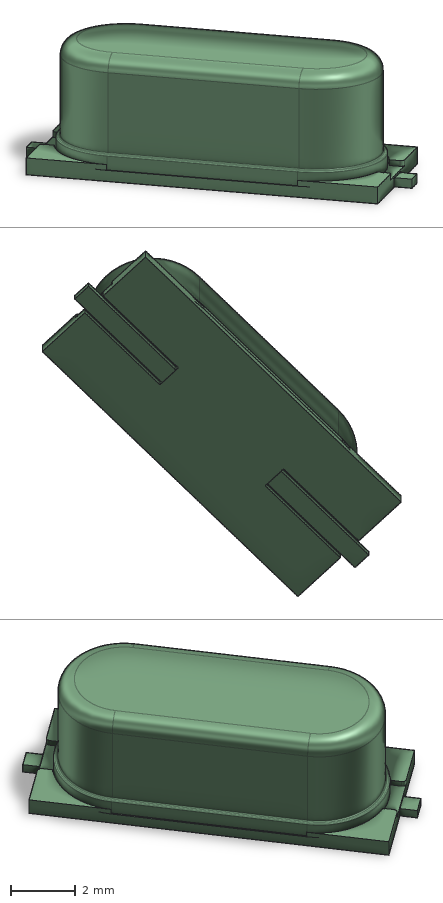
import cadquery as cq

overall_length = 12.5
overall_height = 4.01

base_length = 11.4
base_width = 4.5
base_bottom = 0.01
base_top = 0.56
seat_floor = 0.38

channel_width = 1.38
mouth_radius = 0.12

straight_length = 6.19
seat_radius = base_width / 2
flange_radius = 2.2
flange_top = 0.86
flange_fillet = 0.04
can_radius = 2.06
can_edge_fillet = 0.51

lead_length = 3.9
lead_width = 0.6
lead_thickness = 0.3
lead_slot_width = 0.8


def block(x_start, x_end, width, z_start, z_end):
    """Box between two X and two Z planes, centred on Y = 0."""
    length = x_end - x_start
    return (
        cq.Workplane("XY", origin=((x_start + x_end) / 2, 0, z_start))
        .rect(length, width)
        .extrude(z_end - z_start)
    )


def obround(radius, z_start, z_end):
    """Upright obround prism with the common straight length along X."""
    return (
        cq.Workplane("XY", origin=(0, 0, z_start))
        .slot2D(straight_length + 2 * radius, 2 * radius)
        .extrude(z_end - z_start)
    )


def mirrored_pair(left_body):
    """The body together with its mirror image across the YZ plane."""
    return left_body.union(left_body.mirror("YZ"))


def end_channel():
    """Channel through the left end wall, flaring outward with rounded mouth corners."""
    half_length = base_length / 2
    half_width = channel_width / 2
    half_mouth = half_width + mouth_radius
    inner_end = -straight_length / 2
    return (
        cq.Workplane("XY", origin=(0, 0, seat_floor))
        .moveTo(inner_end, half_width)
        .lineTo(-half_length + mouth_radius, half_width)
        .radiusArc((-half_length, half_mouth), mouth_radius)
        .lineTo(-half_length, -half_mouth)
        .radiusArc((-half_length + mouth_radius, -half_width), mouth_radius)
        .lineTo(inner_end, -half_width)
        .close()
        .extrude(base_top - seat_floor)
    )


def base_plate():
    """Plate with an obround seat, end channels and slots for the leads."""
    half_length = base_length / 2
    lead_inner_end = -overall_length / 2 + lead_length
    plate = block(-half_length, half_length, base_width, base_bottom, base_top)
    lead_slot = block(-half_length, lead_inner_end, lead_slot_width, base_bottom, lead_thickness)
    return (
        plate.cut(obround(seat_radius, seat_floor, base_top))
        .cut(mirrored_pair(end_channel()))
        .cut(mirrored_pair(lead_slot))
    )


def can():
    """Can with a rounded top edge and a flange that stands on the seat floor."""
    flange = obround(flange_radius, seat_floor, flange_top)
    shell = obround(can_radius, seat_floor, overall_height)
    rounded_shell = shell.faces(">Z").edges().fillet(can_edge_fillet)

    flanged_can = flange.union(rounded_shell)
    ledge_edges = flanged_can.faces("|Z").faces(">Z[-2]").edges()
    return ledge_edges.fillet(flange_fillet)


def leads():
    """Flat leads running inward from both ends of the part."""
    outer_end = -overall_length / 2
    return mirrored_pair(block(outer_end, outer_end + lead_length, lead_width, 0, lead_thickness))


result = base_plate().union(can()).union(leads())